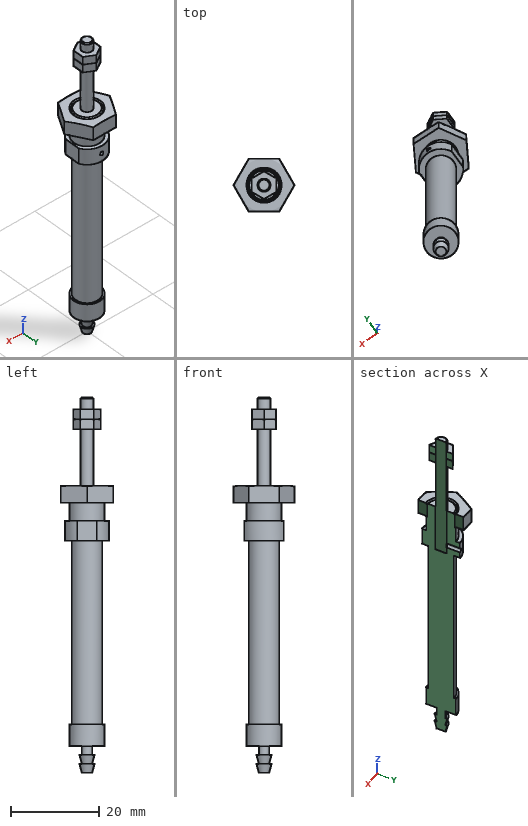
import cadquery as cq
import math

total_height = 85.0
barb_length = 6.0
cap_length = 4.9
head_base = 52.5
collar_height = 4.5
thread_base = head_base + collar_height
head_top = 65.0

tube_diameter = 7.0
cap_diameter = 8.0
thread_diameter = 8.0
collar_diameter = 10.0
collar_across_flats = 9.0
head_face_diameter = 6.6
vent_diameter = 1.0

stem_diameter = 2.4
barb_diameter = 3.5
ridge_count = 2
ridge_height = 2.0

rod_diameter = 3.0
rod_tip_diameter = 2.5
rod_tip_height = 0.3

mount_nut_across_flats = 12.0
mount_nut_height = 3.9
mount_nut_crown_drop = 0.2

rod_nut_across_flats = 5.4
rod_nut_height = 2.3
rod_nut_crown_drop = 0.1
rod_nut_count = 2
rod_nuts_top = 82.4

groove_diameter = (thread_diameter + head_face_diameter) / 2
bevel = (thread_diameter - groove_diameter) / 2


def cylinder(diameter, base, top):
    return cq.Workplane("XY").workplane(offset=base).circle(diameter / 2).extrude(top - base)


def cone(base_diameter, top_diameter, base, height):
    return cq.Workplane(
        cq.Solid.makeCone(base_diameter / 2, top_diameter / 2, height, cq.Vector(0, 0, base))
    )


def make_hose_barb():
    barb = cylinder(stem_diameter, 0, barb_length)
    for index in range(ridge_count):
        barb = barb.union(cone(stem_diameter, barb_diameter, index * ridge_height, ridge_height))
    return barb


def make_collar():
    collar = cylinder(collar_diameter, head_base, thread_base)
    flats = (
        cq.Workplane("XY")
        .workplane(offset=head_base)
        .rect(collar_across_flats, collar_diameter)
        .extrude(collar_height)
    )
    return collar.intersect(flats)


def make_vent():
    """Radial hole from the rod bore out through the +Y side of the collar."""
    vent_height = head_base + collar_height / 2
    return (
        cq.Workplane("XZ", origin=(0, 0, vent_height))
        .circle(vent_diameter / 2)
        .extrude(-collar_diameter / 2)
    )


def make_threaded_end():
    seat_base = head_top - mount_nut_height
    end = cylinder(thread_diameter, thread_base, seat_base)
    end = end.union(cylinder(groove_diameter, seat_base, head_top - bevel))
    return end.union(cone(groove_diameter, head_face_diameter, head_top - bevel, bevel))


def make_housing():
    cap_top = barb_length + cap_length
    housing = make_hose_barb()
    housing = housing.union(cylinder(cap_diameter, barb_length, cap_top))
    housing = housing.union(cylinder(tube_diameter, cap_top, head_base))
    housing = housing.union(make_collar())
    housing = housing.union(make_threaded_end())
    housing = housing.cut(make_vent())
    return housing.cut(cylinder(rod_diameter, head_base, head_top))


def make_rod():
    tip_inset = (rod_diameter - rod_tip_diameter) / 2
    return cylinder(rod_diameter, head_base, total_height).faces(">Z").chamfer(rod_tip_height, tip_inset)


def make_hex_nut(across_flats, base, height, bore_diameter, crown_drop):
    """Hexagonal nut with corners on X; its top corners slope away from the round top face."""
    across_corners = across_flats / math.cos(math.pi / 6)
    crown_width = (across_corners - across_flats) / 2
    nut = cq.Workplane("XY").workplane(offset=base).polygon(6, across_corners).extrude(height)
    crowned = cylinder(across_corners, base, base + height)
    crowned = crowned.faces(">Z").chamfer(crown_drop, crown_width)
    return nut.intersect(crowned).cut(cylinder(bore_diameter, base, base + height))


def make_mount_nut():
    nut = make_hex_nut(
        mount_nut_across_flats,
        head_top - mount_nut_height,
        mount_nut_height,
        groove_diameter,
        mount_nut_crown_drop,
    )
    return nut.cut(cone(groove_diameter, thread_diameter, head_top - bevel, bevel))


def make_rod_nut(index):
    top = rod_nuts_top - index * rod_nut_height
    nut = make_hex_nut(
        rod_nut_across_flats, top - rod_nut_height, rod_nut_height, rod_diameter, rod_nut_crown_drop
    )
    return nut.rotate((0, 0, 0), (0, 0, 1), 90)


housing = make_housing()
rod = make_rod()
mount_nut = make_mount_nut()
rod_nuts = [make_rod_nut(index) for index in range(rod_nut_count)]

result = cq.Compound.makeCompound(
    [housing.val(), rod.val(), mount_nut.val(), *[nut.val() for nut in rod_nuts]]
)